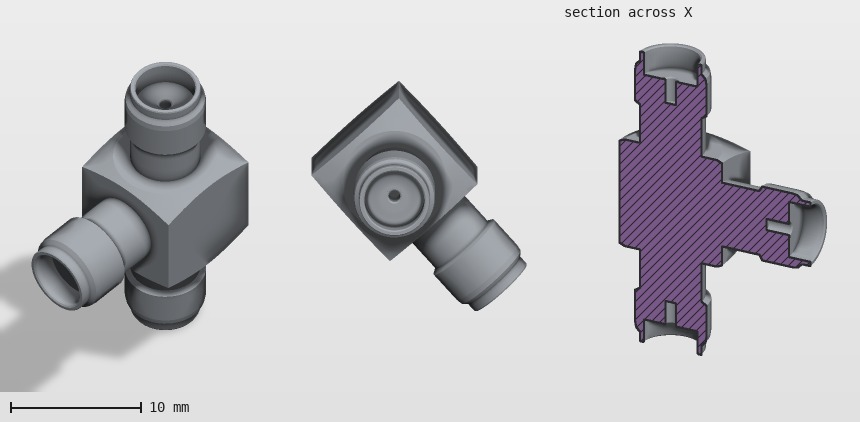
import cadquery as cq
import math

body_size = 9.0
end_flat_radius = 4.0
end_cone_angle = 22.5
envelope_margin = 1.0

port_reach = 12.2
neck_radius = 2.7
collar_radius = 3.125
collar_lip_radius = 3.05
rim_chamfer_width = 0.05
rim_chamfer_length = 0.1
nose_length = 0.8
collar_lip_offset = 1.15
collar_front_offset = 1.6
collar_back_offset = 4.25
collar_end_offset = 4.5

bore_radius = 2.3
bore_depth = 1.9
bore_chamfer = 0.1

contact_radius = 0.635
contact_rise = 0.05
contact_hole_radius = 0.45
contact_hole_depth = 2.0
contact_hole_chamfer = 0.1


def make_body():
    """Cube whose top and bottom ends are turned down to a shallow cone."""
    half = body_size / 2
    corner_radius = half * math.sqrt(2)
    cone_radius = corner_radius + envelope_margin
    cone_drop = (cone_radius - end_flat_radius) * math.tan(math.radians(end_cone_angle))
    turned_envelope = (
        cq.Workplane("XZ")
        .moveTo(0, -half)
        .lineTo(end_flat_radius, -half)
        .lineTo(cone_radius, -half + cone_drop)
        .lineTo(cone_radius, half - cone_drop)
        .lineTo(end_flat_radius, half)
        .lineTo(0, half)
        .close()
        .revolve(360, (0, 0, 0), (0, 1, 0))
    )
    return cq.Workplane("XY").box(body_size, body_size, body_size).intersect(turned_envelope)


def make_port():
    """Port turned about +Z, starting at the body centre."""
    floor = port_reach - bore_depth
    contact_tip = floor + contact_rise
    hole_bottom = contact_tip - contact_hole_depth
    profile = [
        (0, 0),
        (neck_radius, 0),
        (neck_radius, port_reach - collar_end_offset),
        (collar_radius, port_reach - collar_back_offset),
        (collar_radius, port_reach - collar_front_offset),
        (collar_lip_radius, port_reach - collar_lip_offset),
        (neck_radius, port_reach - nose_length),
        (neck_radius, port_reach - rim_chamfer_length),
        (neck_radius - rim_chamfer_width, port_reach),
        (bore_radius + bore_chamfer, port_reach),
        (bore_radius, port_reach - bore_chamfer),
        (bore_radius, floor),
        (contact_radius, floor),
        (contact_radius, contact_tip),
        (contact_hole_radius + contact_hole_chamfer, contact_tip),
        (contact_hole_radius, contact_tip - contact_hole_chamfer),
        (contact_hole_radius, hole_bottom),
        (0, hole_bottom),
    ]
    return cq.Workplane("XZ").polyline(profile).close().revolve(360, (0, 0, 0), (0, 1, 0))


port_tilts = (0, 90, 180)

result = make_body()
for tilt in port_tilts:
    result = result.union(make_port().rotate((0, 0, 0), (1, 0, 0), tilt))